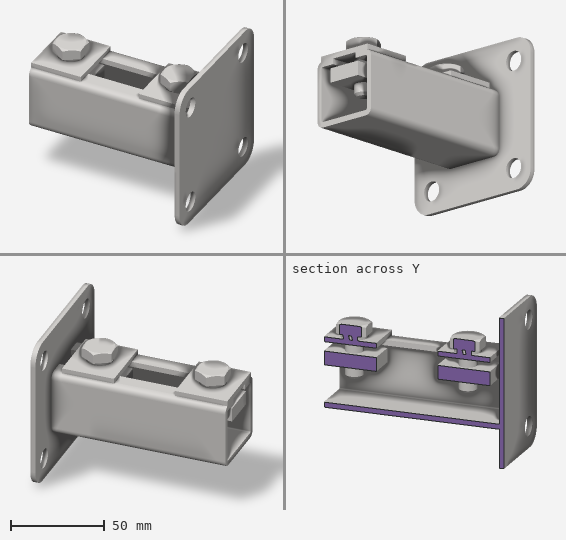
import cadquery as cq
import math

total_length = 103.0
plate_thickness = 3.0
plate_size = 85.0
plate_corner_radius = 10.0
plate_hole_diameter = 11.0
plate_hole_spacing = 60.0

tube_length = total_length - plate_thickness
tube_width = 39.1
tube_height = 37.0
tube_top = 16.5
tube_bottom = tube_top - tube_height
wall = 3.1
bend_inner_radius = 0.7
bend_outer_radius = bend_inner_radius + wall
slot_width = 16.5

clamp_length = 30.0
clamp_width = 34.0
clamp_thickness = 3.0
clamp_top = tube_top + clamp_thickness
bolt_pitch = 65.0
bolt_positions = [clamp_length / 2 + i * bolt_pitch for i in range(2)]

washer_diameter = 15.0
washer_thickness = 2.2
washer_top = clamp_top + washer_thickness
split_gap = 1.4
split_lean = 0.5

shank_diameter = 10.0
shank_reach = 19.9
shank_bottom = tube_top - shank_reach
shank_chamfer = 1.5
head_across_flats = 17.0
head_across_corners = head_across_flats / math.cos(math.pi / 6)
head_height = 6.2
head_top = washer_top + head_height
head_face_diameter = 16.2
head_chamfer_angle = math.radians(30.0)

nut_length = clamp_length
nut_width = 20.0
nut_height = 8.0
nut_depth = 5.0
nut_top = tube_top - nut_depth


def box(x_centre, length, width, bottom, height):
    """Box centred on Y = 0 with the given centre in X and base in Z."""
    return (
        cq.Workplane("XY", origin=(x_centre, 0, bottom))
        .box(length, width, height, centered=(True, True, False))
    )


def make_end_plate():
    return (
        cq.Workplane("YZ", origin=(tube_length, 0, 0))
        .rect(plate_size, plate_size)
        .extrude(plate_thickness)
        .edges("|X")
        .fillet(plate_corner_radius)
        .faces("<X")
        .workplane(centerOption="CenterOfBoundBox")
        .rect(plate_hole_spacing, plate_hole_spacing, forConstruction=True)
        .vertices()
        .hole(plate_hole_diameter)
    )


def make_tube():
    middle = tube_length / 2
    outer = box(middle, tube_length, tube_width, tube_bottom, tube_height)
    outer = outer.edges("|X").fillet(bend_outer_radius)
    bore = box(middle, tube_length, tube_width - 2 * wall, tube_bottom + wall, tube_height - 2 * wall)
    bore = bore.edges("|X").fillet(bend_inner_radius)
    slot = box(middle, tube_length, slot_width, tube_top - 2 * wall, 2 * wall)
    return outer.cut(bore).cut(slot)


def make_spring_washer(x):
    ring = (
        cq.Workplane("XY", origin=(x, 0, clamp_top))
        .circle(washer_diameter / 2)
        .circle(shank_diameter / 2)
        .extrude(washer_thickness)
    )
    gap = (
        cq.Workplane("XZ", origin=(x, 0, clamp_top))
        .moveTo(split_lean / 2 - split_gap / 2, 0)
        .lineTo(split_lean / 2 + split_gap / 2, 0)
        .lineTo(split_gap / 2 - split_lean / 2, washer_thickness)
        .lineTo(-split_gap / 2 - split_lean / 2, washer_thickness)
        .close()
        .extrude(washer_diameter)
    )
    return ring.cut(gap)


def make_bolt(x):
    shank = (
        cq.Workplane("XY", origin=(x, 0, shank_bottom))
        .circle(shank_diameter / 2)
        .extrude(washer_top - shank_bottom)
        .faces("<Z")
        .chamfer(shank_chamfer)
    )
    head = (
        cq.Workplane("XY", origin=(x, 0, washer_top))
        .transformed(rotate=(0, 0, 90))
        .polygon(6, head_across_corners)
        .extrude(head_height)
    )
    face_radius = head_face_diameter / 2
    corner_radius = head_across_corners / 2
    bevel_drop = (corner_radius - face_radius) * math.tan(head_chamfer_angle)
    envelope = (
        cq.Workplane("XZ", origin=(x, 0, 0))
        .moveTo(0, washer_top)
        .lineTo(corner_radius, washer_top)
        .lineTo(corner_radius, head_top - bevel_drop)
        .lineTo(face_radius, head_top)
        .lineTo(0, head_top)
        .close()
        .revolve(360, (0, 0, 0), (0, 1, 0))
    )
    return shank.union(head.intersect(envelope))


def make_clamp(x):
    plate = box(x, clamp_length, clamp_width, tube_top, clamp_thickness)
    nut = box(x, nut_length, nut_width, nut_top - nut_height, nut_height)
    return plate.union(nut).union(make_bolt(x)).union(make_spring_washer(x))


result = make_end_plate().union(make_tube())
for bolt_x in bolt_positions:
    result = result.union(make_clamp(bolt_x))